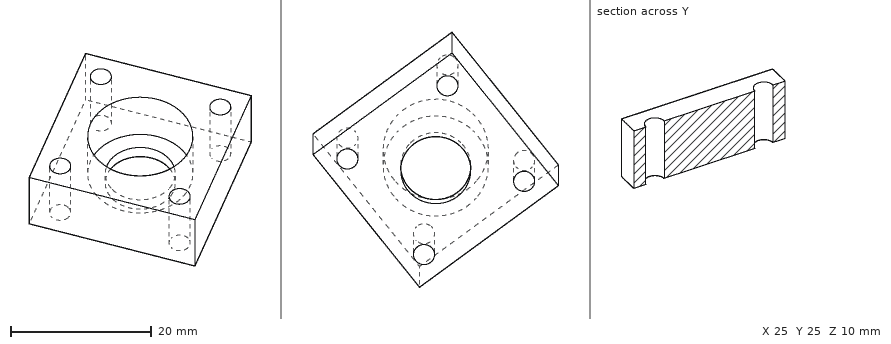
import cadquery as cq

side = 25
height = 10

seat_diameter = 15
floor_thickness = 2
seat_depth = height - floor_thickness
bore_diameter = 10

mount_hole_diameter = 3
mount_hole_spacing = 18


def make_block():
    """Square block centred on the Z axis, standing on Z = 0."""
    return cq.Workplane("XY").box(side, side, height, centered=(True, True, False))


def cut_stepped_bore(body):
    """Wide seat open at the top, narrowing to a through bore."""
    return body.faces(">Z").workplane().cboreHole(bore_diameter, seat_diameter, seat_depth)


def cut_mount_holes(body):
    """Four plain through holes, one near each corner."""
    return (
        body.faces(">Z")
        .workplane(origin=(0, 0, height))
        .rarray(mount_hole_spacing, mount_hole_spacing, 2, 2)
        .hole(mount_hole_diameter)
    )


result = cut_mount_holes(cut_stepped_bore(make_block()))